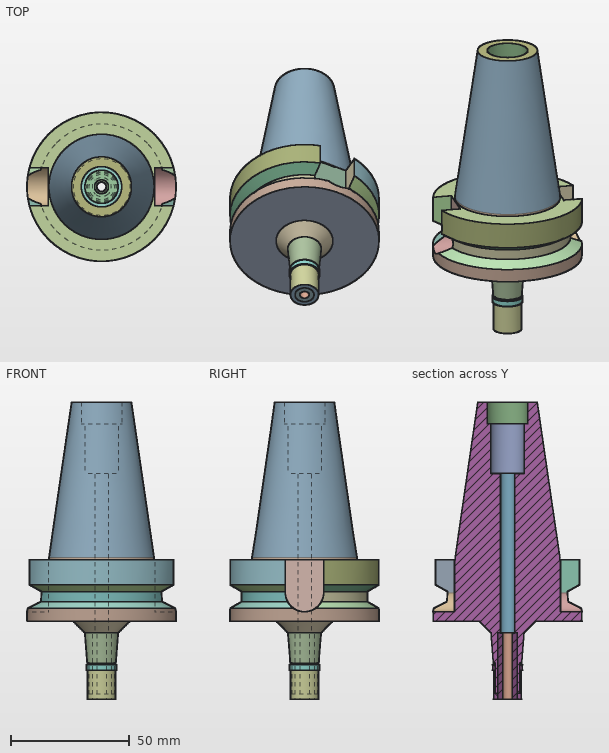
import cadquery as cq
import math


TOTAL_LENGTH = 125.4
TAPER_LENGTH = 65.5
TIP_Z = TAPER_LENGTH - TOTAL_LENGTH

GAUGE_DIA = 44.4
TAPER_RATIO = 7 / 24
SHANK_END_DIA = GAUGE_DIA - TAPER_LENGTH * TAPER_RATIO

COUNTERBORE_DIA = 17.0
COUNTERBORE_DEPTH = 9.0
SCREW_BORE_DIA = 14.0
SCREW_BORE_DEPTH = 30.1
COOLANT_BORE_DIA = 5.9

FLANGE_DIA = 63.0
FLANGE_TOP_Z = -1.0
FLANGE_BOTTOM_Z = -27.0
GROOVE_DIA = 53.3
GROOVE_FLOOR_WIDTH = 4.3
GROOVE_CENTER_Z = -16.5
GROOVE_FLANK_ANGLE = 30.0

SLOT_WIDTH = 16.2
SLOT_FLAT_X = 22.5
SLOT_BOTTOM_Z = -23.0

NOSE_DIA = 14.2
NOSE_TOP_Z = -31.9
NOSE_END_DIA = 12.2
NOSE_END_Z = -44.6
SPIGOT_DIA = 10.7

NUT_TOP_Z = -45.3
NUT_DIA = 11.9
COLLAR_DIA = 12.8
COLLAR_HEIGHT = 2.4
NUT_LIP = 2.5
SPIGOT_END_Z = TIP_Z + NUT_LIP

COLLET_DIA = 8.0
COLLET_BORE_DIA = 3.9
COLLET_TOP_Z = NOSE_TOP_Z


def cylinder(diameter, bottom_z, top_z):
    return cq.Workplane("XY").workplane(offset=bottom_z).circle(diameter / 2).extrude(top_z - bottom_z)


def holder_blank():
    """Revolved outside of the holder: shank, grooved flange, nose and spigot."""
    flange_r = FLANGE_DIA / 2
    groove_r = GROOVE_DIA / 2
    floor_half = GROOVE_FLOOR_WIDTH / 2
    mouth_half = floor_half + (flange_r - groove_r) * math.tan(math.radians(GROOVE_FLANK_ANGLE))
    cone_top_r = NOSE_DIA / 2 + (FLANGE_BOTTOM_Z - NOSE_TOP_Z)
    outline = [
        (0, TAPER_LENGTH),
        (SHANK_END_DIA / 2, TAPER_LENGTH),
        (GAUGE_DIA / 2, 0),
        (GAUGE_DIA / 2, FLANGE_TOP_Z),
        (flange_r, FLANGE_TOP_Z),
        (flange_r, GROOVE_CENTER_Z + mouth_half),
        (groove_r, GROOVE_CENTER_Z + floor_half),
        (groove_r, GROOVE_CENTER_Z - floor_half),
        (flange_r, GROOVE_CENTER_Z - mouth_half),
        (flange_r, FLANGE_BOTTOM_Z),
        (cone_top_r, FLANGE_BOTTOM_Z),
        (NOSE_DIA / 2, NOSE_TOP_Z),
        (NOSE_END_DIA / 2, NOSE_END_Z),
        (SPIGOT_DIA / 2, NOSE_END_Z),
        (SPIGOT_DIA / 2, SPIGOT_END_Z),
        (0, SPIGOT_END_Z),
    ]
    return cq.Workplane("XZ").polyline(outline).close().revolve(360, (0, 0), (0, 1))


def drive_slot(side):
    """Round-bottomed slot, open outward and upward, on the +X (1) or -X (-1) side."""
    half_width = SLOT_WIDTH / 2
    round_center_z = SLOT_BOTTOM_Z + half_width
    return (
        cq.Workplane("YZ")
        .workplane(offset=side * SLOT_FLAT_X)
        .moveTo(-half_width, FLANGE_TOP_Z)
        .lineTo(-half_width, round_center_z)
        .threePointArc((0, SLOT_BOTTOM_Z), (half_width, round_center_z))
        .lineTo(half_width, FLANGE_TOP_Z)
        .close()
        .extrude(side * FLANGE_DIA / 2)
    )


def make_holder():
    body = holder_blank()
    for side in (-1, 1):
        body = body.cut(drive_slot(side))
    body = body.cut(cylinder(COUNTERBORE_DIA, TAPER_LENGTH - COUNTERBORE_DEPTH, TAPER_LENGTH))
    body = body.cut(cylinder(SCREW_BORE_DIA, TAPER_LENGTH - SCREW_BORE_DEPTH, TAPER_LENGTH))
    body = body.cut(cylinder(COOLANT_BORE_DIA, COLLET_TOP_Z, TAPER_LENGTH))
    return body.cut(cylinder(COLLET_DIA, SPIGOT_END_Z, COLLET_TOP_Z))


def make_nut():
    """Sleeve with a collar at its top; it fits over the spigot and around the collet."""
    sleeve = cylinder(NUT_DIA, TIP_Z, NUT_TOP_Z)
    collar = cylinder(COLLAR_DIA, NUT_TOP_Z - COLLAR_HEIGHT, NUT_TOP_Z)
    spigot_recess = cylinder(SPIGOT_DIA, SPIGOT_END_Z, NUT_TOP_Z)
    collet_hole = cylinder(COLLET_DIA, TIP_Z, NUT_TOP_Z)
    return sleeve.union(collar).cut(spigot_recess).cut(collet_hole)


def make_collet():
    """Plain tube from the holder's socket to the end face of the nut."""
    return cylinder(COLLET_DIA, TIP_Z, COLLET_TOP_Z).cut(cylinder(COLLET_BORE_DIA, TIP_Z, COLLET_TOP_Z))


holder = make_holder()
nut = make_nut()
collet = make_collet()

result = cq.Compound.makeCompound([holder.val(), nut.val(), collet.val()])